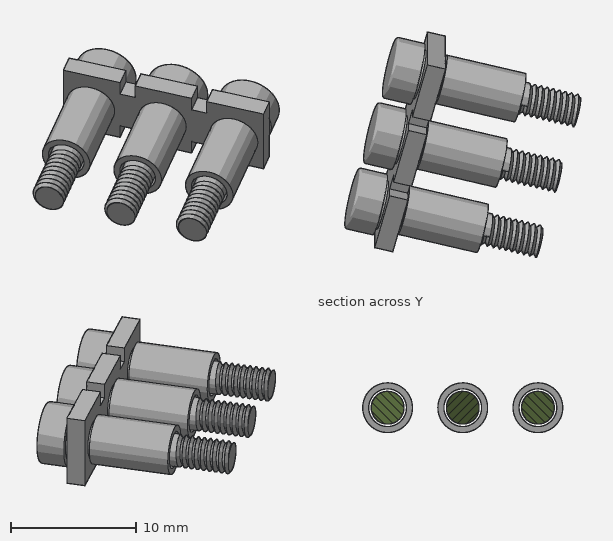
import cadquery as cq


SCREW_COUNT = 3
SCREW_SPACING = 6.0

SCREW_LENGTH = 15.5
HEAD_DIAMETER = 5.0
HEAD_HEIGHT = 2.28
HEAD_FILLET = 0.2
SHANK_DIAMETER = 2.64
THREAD_LENGTH = 4.62
THREAD_TURNS = 9.25
THREAD_DEPTH = 0.27
GROOVE_OVERSHOOT = 0.005
GROOVE_TURN_GAP = 0.003

CLEARANCE_DIAMETER = 3.0
COLLAR_DIAMETER = 4.0
WASHER_THICKNESS = 0.22
SLEEVE_LENGTH = 6.5
SLEEVE_GAP = 0.25

BAR_LENGTH = 16.8
BAR_HEIGHT = SCREW_SPACING
BAR_THICKNESS = 1.5
NOTCH_SIZE = 1.25

HEAD_SEAT_Y = -HEAD_HEIGHT
BAR_BACK_Y = HEAD_SEAT_Y - WASHER_THICKNESS
BAR_FRONT_Y = BAR_BACK_Y - BAR_THICKNESS
SLEEVE_BACK_Y = BAR_FRONT_Y - SLEEVE_GAP

THREAD_PITCH = THREAD_LENGTH / THREAD_TURNS

screw_positions = [(i - (SCREW_COUNT - 1) / 2) * SCREW_SPACING for i in range(SCREW_COUNT)]
notch_positions = [(a + b) / 2 for a, b in zip(screw_positions, screw_positions[1:])]


def plane_facing_front(y, x=0):
    """XZ plane at the given Y; its local axes are X and Z and it extrudes towards -Y."""
    return cq.Workplane("XZ", origin=(x, y, 0))


def make_ring(x, back_y, length):
    """Plain ring around a screw axis, reaching from back_y towards -Y."""
    return (
        plane_facing_front(back_y, x)
        .circle(COLLAR_DIAMETER / 2)
        .circle(CLEARANCE_DIAMETER / 2)
        .extrude(length)
    )


def make_bar():
    bar = plane_facing_front(BAR_BACK_Y).rect(BAR_LENGTH, BAR_HEIGHT).extrude(BAR_THICKNESS)
    screw_holes = (
        plane_facing_front(BAR_BACK_Y)
        .pushPoints([(x, 0) for x in screw_positions])
        .circle(CLEARANCE_DIAMETER / 2)
        .extrude(BAR_THICKNESS)
    )
    notches = (
        plane_facing_front(BAR_BACK_Y)
        .pushPoints([(x, side * BAR_HEIGHT / 2) for x in notch_positions for side in (-1, 1)])
        .rect(NOTCH_SIZE, 2 * NOTCH_SIZE)
        .extrude(BAR_THICKNESS)
    )
    return bar.cut(screw_holes).cut(notches)


def make_thread_groove():
    """Right-handed V groove along +Z, centred on Z = 0 where it starts at -Y."""
    shank_radius = SHANK_DIAMETER / 2
    mouth_radius = shank_radius + GROOVE_OVERSHOOT
    half_mouth = (THREAD_PITCH - GROOVE_TURN_GAP) / 2
    profile = (
        cq.Workplane("XZ")
        .moveTo(mouth_radius, -half_mouth)
        .lineTo(shank_radius - THREAD_DEPTH, 0)
        .lineTo(mouth_radius, half_mouth)
        .close()
    )
    helix = cq.Wire.makeHelix(THREAD_PITCH, THREAD_LENGTH, shank_radius)
    groove_from_x_side = profile.sweep(cq.Workplane(obj=helix), isFrenet=True)
    return groove_from_x_side.rotate((0, 0, 0), (0, 0, 1), -90)


def make_screw():
    """Screw along +Z with the top of its head at Z = 0, turned to point towards -Y."""
    blank = (
        cq.Workplane("YZ")
        .moveTo(0, 0)
        .lineTo(HEAD_DIAMETER / 2 - HEAD_FILLET, 0)
        .tangentArcPoint((HEAD_FILLET, HEAD_FILLET))
        .lineTo(HEAD_DIAMETER / 2, HEAD_HEIGHT)
        .lineTo(SHANK_DIAMETER / 2, HEAD_HEIGHT)
        .lineTo(SHANK_DIAMETER / 2, SCREW_LENGTH)
        .lineTo(0, SCREW_LENGTH)
        .close()
        .revolve(360, (0, 0, 0), (0, 1, 0))
    )
    groove_start = SCREW_LENGTH - THREAD_LENGTH + THREAD_PITCH / 2
    screw = blank.cut(make_thread_groove().translate((0, 0, groove_start)))
    return screw.rotate((0, 0, 0), (1, 0, 0), 90)


bar = make_bar()
screw = make_screw()
screws = [screw.translate((x, 0, 0)) for x in screw_positions]
washers = [make_ring(x, HEAD_SEAT_Y, WASHER_THICKNESS) for x in screw_positions]
sleeves = [make_ring(x, SLEEVE_BACK_Y, SLEEVE_LENGTH) for x in screw_positions]

result = cq.Compound.makeCompound(
    [body.val() for body in [bar, *screws, *washers, *sleeves]]
)